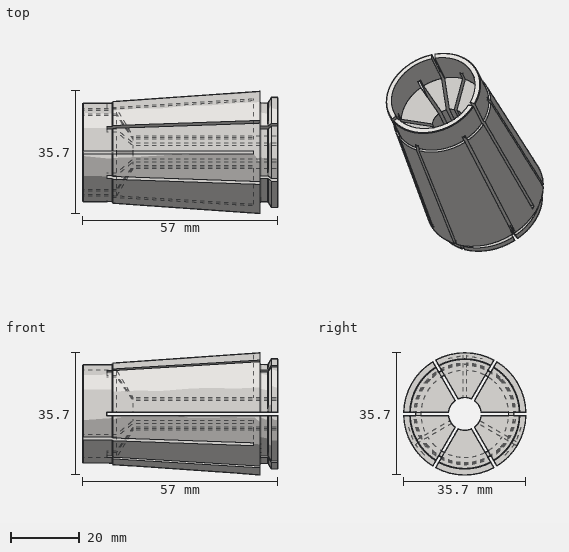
import cadquery as cq
import math


total_length = 57.0
sleeve_length = 8.5
shoulder_length = 0.4
taper_end = 51.8
rim_start = 55.05
edge_chamfer = 0.2

sleeve_radius = 14.4
taper_large_radius = 17.87
taper_half_angle = math.radians(4)
groove_radius = 14.475
rim_radius = 16.1
groove_corner_fillet = 0.2
groove_flank_angle = math.radians(30)

counterbore_radius = 12.75
counterbore_depth = 9.9
bore_radius = 4.75
bore_cone_half_angle = math.radians(59)

slot_width = 0.95
rim_slot_count = 6
rim_slot_start = 7.1
rim_slot_first_angle = 90
nose_slot_count = 3
nose_slot_end = total_length - rim_slot_start
nose_slot_first_angle = 0
cutter_overrun = 1.0

taper_start = sleeve_length + shoulder_length
taper_small_radius = taper_large_radius - (taper_end - taper_start) * math.tan(taper_half_angle)
groove_floor_end = rim_start - (rim_radius - groove_radius) * math.tan(groove_flank_angle)
bore_cone_end = counterbore_depth + (counterbore_radius - bore_radius) / math.tan(bore_cone_half_angle)


def revolve_about_x(points):
    """Revolve a closed outline of (x, radius) points about the X axis."""
    return cq.Workplane("XY").polyline(points).close().revolve(360, (0, 0, 0), (1, 0, 0))


def make_body():
    """Sleeve, clamping taper, groove and rim, with the stepped bore."""
    outer_outline = [
        (0, sleeve_radius - edge_chamfer),
        (edge_chamfer, sleeve_radius),
        (sleeve_length, sleeve_radius),
        (taper_start, taper_small_radius),
        (taper_end, taper_large_radius),
        (taper_end, groove_radius),
        (groove_floor_end, groove_radius),
        (rim_start, rim_radius),
        (total_length - edge_chamfer, rim_radius),
        (total_length, rim_radius - edge_chamfer),
    ]
    bore_outline = [
        (total_length, bore_radius),
        (bore_cone_end, bore_radius),
        (counterbore_depth, counterbore_radius),
        (0, counterbore_radius),
    ]
    return revolve_about_x(outer_outline + bore_outline)


def round_groove_corners(body):
    """Fillet both inside corners of the groove floor."""
    reach = groove_radius + groove_corner_fillet
    margin = groove_corner_fillet
    corner_zone = cq.selectors.BoxSelector(
        (taper_end - margin, -reach, -reach),
        (groove_floor_end + margin, reach, reach),
        boundingbox=True,
    )
    groove_corners = body.edges("%CIRCLE").edges(corner_zone)
    return groove_corners.fillet(groove_corner_fillet)


def make_slots(count, first_angle, x_start, x_end):
    """Cutters for evenly spaced radial slots, each reaching from the axis past the outside."""
    cutters = cq.Workplane("XY")
    for index in range(count):
        angle = first_angle + index * 360 / count
        cutter = (
            cq.Workplane("XY")
            .box(
                x_end - x_start,
                slot_width,
                taper_large_radius + cutter_overrun,
                centered=(False, True, False),
            )
            .translate((x_start, 0, 0))
            .rotate((0, 0, 0), (1, 0, 0), angle)
        )
        cutters = cutters.add(cutter)
    return cutters.combine()


rim_slots = make_slots(rim_slot_count, rim_slot_first_angle, rim_slot_start, total_length + cutter_overrun)
nose_slots = make_slots(nose_slot_count, nose_slot_first_angle, -cutter_overrun, nose_slot_end)

result = round_groove_corners(make_body()).cut(rim_slots).cut(nose_slots).solids()